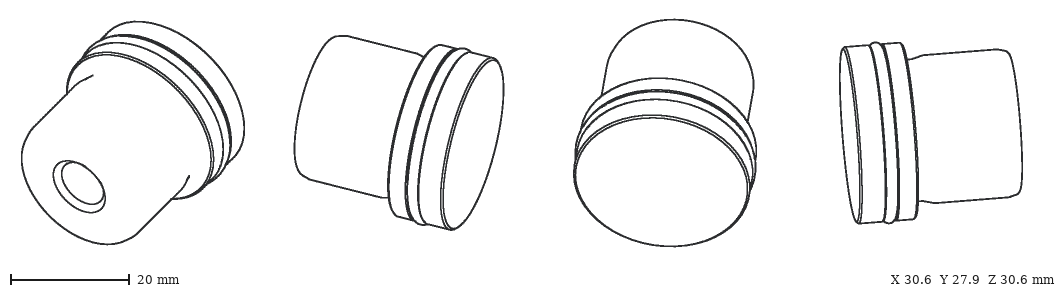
import cadquery as cq
import math

length = 27.9

flange_radius = 14.92
flange_width = 9.9
back_chamfer = 0.35
front_chamfer = 0.3

ring_outer_radius = 15.3
ring_section_radius = 0.98
ring_station = 5.47
groove_chamfer = 0.2
ring_center_radius = ring_outer_radius - ring_section_radius

body_radius = 12.5
neck_radius = 12.0
neck_fillet = 0.6
neck_end = 11.4
taper_angle = math.radians(15)
neck_taper_length = (body_radius - neck_radius) / math.tan(taper_angle)

tip_taper_start = 25.9
tip_round = 1.0

hole_radius = 4.25
countersink_radius = 5.25
hole_depth = 19.88
drill_half_angle = math.radians(59)


def make_body():
    """Revolved outer shape of flange with ring, neck, body and tip."""
    groove_back = ring_station - ring_section_radius
    groove_front = ring_station + ring_section_radius
    arc_start = length - tip_round * (1 - math.sin(taper_angle))
    arc_start_radius = body_radius - (arc_start - tip_taper_start) * math.tan(taper_angle)
    arc_center_radius = arc_start_radius - tip_round * math.cos(taper_angle)
    arc_center = length - tip_round
    mid_angle = (taper_angle + math.pi / 2) / 2
    arc_middle = (
        arc_center_radius + tip_round * math.cos(mid_angle),
        -(arc_center + tip_round * math.sin(mid_angle)),
    )
    fillet_reach = neck_fillet * (1 - math.sqrt(0.5))

    profile = (
        cq.Workplane("XY")
        .moveTo(0, 0)
        .lineTo(flange_radius - back_chamfer, 0)
        .lineTo(flange_radius, -back_chamfer)
        .lineTo(flange_radius, -(groove_back - groove_chamfer))
        .lineTo(flange_radius - groove_chamfer, -groove_back)
        .lineTo(ring_center_radius, -groove_back)
        .threePointArc((ring_outer_radius, -ring_station), (ring_center_radius, -groove_front))
        .lineTo(flange_radius - groove_chamfer, -groove_front)
        .lineTo(flange_radius, -(groove_front + groove_chamfer))
        .lineTo(flange_radius, -(flange_width - front_chamfer))
        .lineTo(flange_radius - front_chamfer, -flange_width)
        .lineTo(neck_radius + neck_fillet, -flange_width)
        .threePointArc(
            (neck_radius + fillet_reach, -(flange_width + fillet_reach)),
            (neck_radius, -(flange_width + neck_fillet)),
        )
        .lineTo(neck_radius, -neck_end)
        .lineTo(body_radius, -(neck_end + neck_taper_length))
        .lineTo(body_radius, -tip_taper_start)
        .lineTo(arc_start_radius, -arc_start)
        .threePointArc(arc_middle, (arc_center_radius, -length))
        .lineTo(0, -length)
        .close()
    )
    return profile.revolve(360, (0, 0, 0), (0, 1, 0))


def make_hole():
    """Countersunk hole from the tip face with a conical drill bottom."""
    countersink_depth = countersink_radius - hole_radius
    cone_depth = hole_radius / math.tan(drill_half_angle)
    return (
        cq.Workplane("XY")
        .moveTo(0, -length)
        .lineTo(countersink_radius, -length)
        .lineTo(hole_radius, -(length - countersink_depth))
        .lineTo(hole_radius, -(length - hole_depth))
        .lineTo(0, -(length - hole_depth - cone_depth))
        .close()
        .revolve(360, (0, 0, 0), (0, 1, 0))
    )


result = make_body().cut(make_hole())